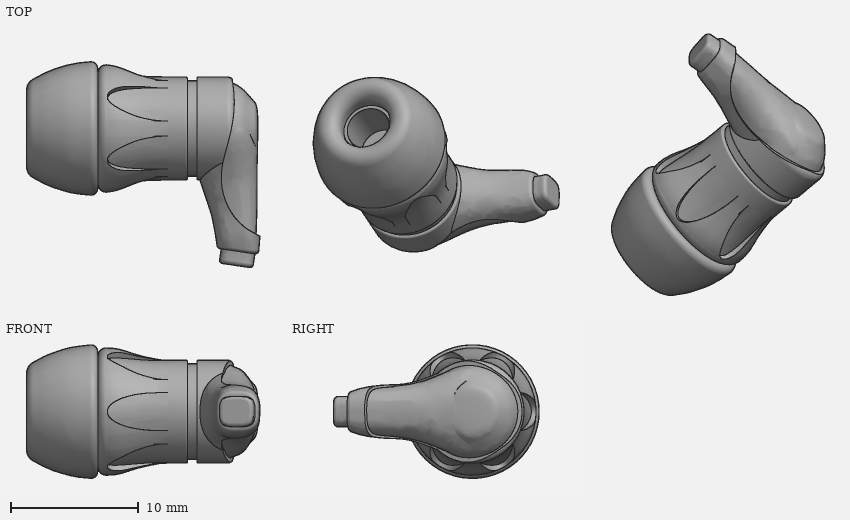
import cadquery as cq
import math


tip_radius = 5.235
tip_rear_x = 5.58
tip_rear_round = 0.54
mouth_round = 0.95
mouth_rim_x = 0.49
mouth_rim_radius = 3.84
tip_mid = (3.29, 4.99)
tunnel_radius = 1.99

bulge_radius = 4.98
bulge_x = 6.37
barrel_radius = 4.04
waist_x = 11.05
bulge_to_waist = [(7.6, 4.79), (8.3, 4.56), (9.04, 4.35), (10.0, 4.14)]
housing_rear_x = 12.62
housing_rear_round = 0.17
housing_front_round = 0.65
nozzle_front_x = 1.6
nozzle_radius = 2.4
bore_radius = 1.715

recess_count = 6
recess_front_x = 6.33
recess_straight_x = 10.2
recess_half_width = 1.48
recess_front_floor = 4.62
recess_mid_x = 8.0
recess_mid_floor = 4.25

neck_radius = 3.75
elbow_front_x = 13.34
elbow_front_round = 0.13
shell_rear_x = 16.3
shell_rear_round = 0.6
dome_front_x = 14.5
dome_radius = 3.7
dome_curve = [(15.9, 3.65), (16.5, 3.38), (17.0, 3.02), (17.5, 2.46)]
dome_rear_x = 18.12
cover_side_inset = 0.2
cover_back_inset = 0.32
cover_end_inset = 0.5

rim_start_x = 15.9
rim_curve = [
    (16.14, 3.6),
    (16.26, 2.4),
    (15.78, -1.1),
    (15.26, -3.5),
    (15.64, -5.8),
    (17.19, -7.8),
    (18.22, -8.4),
    (19.0, -8.85),
]
region_rear_x = 19.0
region_low_y = -12.0

arm_sections = [
    (1.2, 14.6, 17.6, 2.6, 2.0),
    (-1.0, 13.6, 18.4, 3.65, 2.1),
    (-2.2, 13.35, 18.42, 3.25, 2.2),
    (-4.6, 13.75, 18.38, 2.4, 2.3),
    (-7.0, 14.53, 18.35, 2.08, 2.5),
]
superellipse_steps = 16

end_tilt = 8.5
end_centre = (16.56, -9.62)
end_width = 3.24
end_half_height = 1.5
end_squareness = 2.8
end_round = 0.3
plug_width = 2.68
plug_height = 2.4
plug_squareness = 3.5
plug_length = 1.12
plug_root = 0.8
plug_round = 0.28


def revolve_about_x(profile):
    """Spin a closed X-radius profile a full turn about the X axis."""
    return profile.close().revolve(360, (0, 0, 0), (1, 0, 0))


def x_cylinder(radius, start_x, end_x):
    return cq.Workplane("YZ", origin=(start_x, 0, 0)).circle(radius).extrude(end_x - start_x)


def make_ear_tip():
    mouth_centre_radius = tunnel_radius + mouth_round
    crown_x = tip_rear_x - tip_rear_round
    corner = tip_rear_round * math.sqrt(0.5)
    profile = (
        cq.Workplane("XY")
        .moveTo(nozzle_front_x, tunnel_radius)
        .lineTo(mouth_round, tunnel_radius)
        .threePointArc((0, mouth_centre_radius), (mouth_rim_x, mouth_rim_radius))
        .threePointArc(tip_mid, (crown_x, tip_radius))
        .threePointArc(
            (crown_x + corner, tip_radius - tip_rear_round + corner),
            (tip_rear_x, tip_radius - tip_rear_round),
        )
        .lineTo(tip_rear_x, nozzle_radius)
        .lineTo(nozzle_front_x, nozzle_radius)
    )
    return revolve_about_x(profile)


def make_grip_recess():
    """Cutter on the -Y side: an arch-shaped prism above a curved floor of revolution."""
    nose_length = recess_straight_x - recess_front_x
    arch = (
        cq.Workplane("XZ")
        .moveTo(waist_x, -recess_half_width)
        .lineTo(recess_straight_x, -recess_half_width)
        .ellipseArc(nose_length, recess_half_width, 90, 270, startAtCurrent=True, sense=-1)
        .lineTo(waist_x, recess_half_width)
        .close()
        .extrude(2 * bulge_radius)
    )
    above_floor = revolve_about_x(
        cq.Workplane("XY")
        .moveTo(recess_front_x, recess_front_floor)
        .threePointArc((recess_mid_x, recess_mid_floor), (waist_x, barrel_radius))
        .lineTo(waist_x, 2 * bulge_radius)
        .lineTo(recess_front_x, 2 * bulge_radius)
    )
    return arch.intersect(above_floor)


def make_housing():
    corner = housing_front_round * (1 - math.sqrt(0.5))
    profile = (
        cq.Workplane("XY")
        .moveTo(tip_rear_x, 0)
        .lineTo(tip_rear_x, bulge_radius - housing_front_round)
        .threePointArc((tip_rear_x + corner, bulge_radius - corner), (bulge_x, bulge_radius))
        .spline(
            [*bulge_to_waist, (waist_x, barrel_radius)],
            tangents=[(1, 0), (1, 0)],
            includeCurrent=True,
        )
        .lineTo(housing_rear_x, barrel_radius)
        .lineTo(housing_rear_x, 0)
    )
    body = revolve_about_x(profile).faces(">X").edges().fillet(housing_rear_round)
    recess = make_grip_recess()
    for i in range(recess_count):
        body = body.cut(recess.rotate((0, 0, 0), (1, 0, 0), i * 360 / recess_count))
    nozzle = x_cylinder(nozzle_radius, nozzle_front_x, tip_rear_x)
    bore = x_cylinder(bore_radius, nozzle_front_x, tip_rear_x)
    return body.union(nozzle).cut(bore)


def superellipse_wire(plane, half_x, half_z, squareness):
    """Smooth closed superellipse; a squareness of 2 gives a plain ellipse."""
    points = []
    for i in range(superellipse_steps):
        angle = 2 * math.pi * i / superellipse_steps
        across = math.cos(angle)
        up = math.sin(angle)
        reach = (abs(across) ** squareness + abs(up) ** squareness) ** (-1 / squareness)
        points.append((half_x * across * reach, half_z * up * reach))
    edge = cq.Workplane(plane).spline(points, periodic=True).val()
    return cq.Wire.assembleEdges([edge])


def end_plane(shift=0.0, depth=0.0):
    """Tilted plane across the arm end, moved sideways by shift and into the arm by depth."""
    tilt = math.radians(end_tilt)
    across = cq.Vector(math.cos(tilt), -math.sin(tilt), 0)
    outward = cq.Vector(-math.sin(tilt), -math.cos(tilt), 0)
    origin = cq.Vector(*end_centre, 0) + across * shift - outward * depth
    return cq.Plane(origin=origin, xDir=across, normal=outward)


def make_arm(side_inset=0.0, back_inset=0.0, end_inset=0.0):
    """Arm lofted through its sections, optionally shrunk at the sides, back and end."""
    wires = []
    for y, inner_x, outer_x, half_height, squareness in arm_sections:
        near_x = inner_x + side_inset
        half_x = (outer_x - back_inset - near_x) / 2
        plane = cq.Plane(origin=(near_x + half_x, y, 0), xDir=(1, 0, 0), normal=(0, -1, 0))
        wires.append(superellipse_wire(plane, half_x, half_height - side_inset, squareness))
    end_half_x = (end_width - side_inset - back_inset) / 2
    end_section = end_plane((side_inset - back_inset) / 2, end_inset)
    wires.append(superellipse_wire(end_section, end_half_x, end_half_height - side_inset, end_squareness))
    return cq.Workplane(cq.Solid.makeLoft(wires))


def make_shell_region():
    """Prism in front of the leaf-shaped rim where the shell gives way to the back cover."""
    return (
        cq.Workplane("XY", origin=(0, 0, -tip_radius))
        .moveTo(elbow_front_x, tip_radius)
        .lineTo(rim_start_x, tip_radius)
        .spline(rim_curve, includeCurrent=True)
        .lineTo(region_rear_x, region_low_y)
        .lineTo(elbow_front_x, region_low_y)
        .close()
        .extrude(2 * tip_radius)
    )


def make_shell():
    """Barrel end and arm, filleted at their ends and cut off along the rim."""
    region = make_shell_region()
    barrel = x_cylinder(barrel_radius, elbow_front_x, shell_rear_x)
    barrel = barrel.faces("<X").edges().fillet(elbow_front_round)
    barrel = barrel.faces(">X").edges().fillet(shell_rear_round)
    arm = make_arm().faces("<Y").edges().fillet(end_round)
    return barrel.intersect(region).union(arm.intersect(region))


def make_dome():
    """Rounded back of the elbow, centred on the barrel axis."""
    profile = (
        cq.Workplane("XY")
        .moveTo(dome_front_x, 0)
        .lineTo(dome_front_x, dome_radius)
        .spline(
            [*dome_curve, (dome_rear_x, 0)],
            tangents=[(1, 0), (0, -1)],
            includeCurrent=True,
        )
    )
    return revolve_about_x(profile)


def make_plug():
    """Cable plug, rooted inside the arm and standing out of its tilted end."""
    root_plane = end_plane(depth=plug_root)
    section = superellipse_wire(root_plane, plug_width / 2, plug_height / 2, plug_squareness)
    run = root_plane.zDir * (plug_root + plug_length)
    plug = cq.Workplane(cq.Solid.extrudeLinear(section, [], run))
    return plug.faces("<Y").edges().fillet(plug_round)


def make_elbow():
    """Shell with the neck and plug, closed at the back by the inset cover and dome."""
    shell = make_shell()
    neck = x_cylinder(neck_radius, housing_rear_x, dome_front_x)
    cover = make_arm(cover_side_inset, cover_back_inset, cover_end_inset)
    return shell.union(neck).union(make_plug()).union(cover).union(make_dome())


ear_tip = make_ear_tip()
housing = make_housing()
elbow = make_elbow()

result = cq.Compound.makeCompound([ear_tip.val(), housing.val(), elbow.val()])